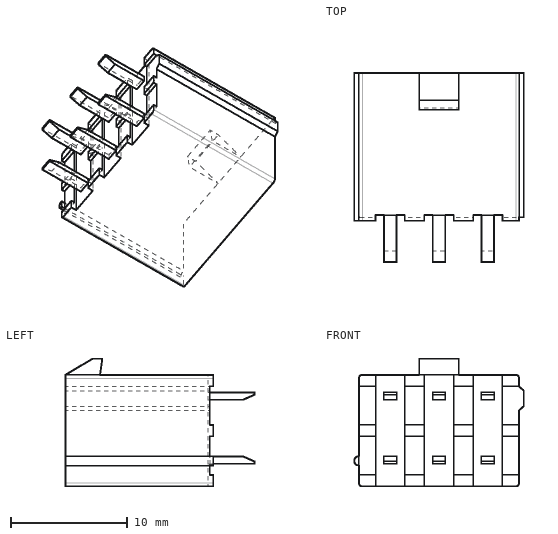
import cadquery as cq


housing_width = 13.8
housing_height = 9.6
housing_length = 12.75
corner_radius = 0.3

pad_proud = 0.3
pad_height = 1.0
pad_rows = 3
channel_depth = 0.5
channel_width = 2.5

pin_pitch = 4.2
pin_columns = 3
row_pitch = 5.5
rows_above_center = 0.22
pin_width = 1.1
pin_thickness = 0.64
pin_reach = 3.55
tip_length = 1.0
tip_thickness = 0.2

latch_width = 3.4
latch_height = 1.4
latch_ramp_length = 2.35
latch_top_length = 3.2
latch_foot_length = 3.0

round_rib_radius = 0.4
round_rib_z = 2.2
key_rib_proud = 0.4
key_rib_height = 2.05
key_rib_bevel = 0.35

half_width = housing_width / 2
mid_height = housing_height / 2
column_positions = [(i - (pin_columns - 1) / 2) * pin_pitch for i in range(pin_columns)]


def block(x_min, x_max, y_min, y_max, z_min, z_max):
    """Axis-aligned box given by its limits."""
    size = (x_max - x_min, y_max - y_min, z_max - z_min)
    return cq.Workplane("XY").box(*size, centered=False).translate((x_min, y_min, z_min))


def make_housing():
    """Rounded block with the pin face cut back between pads and along the channels."""
    body = block(-half_width, half_width, 0, housing_length, 0, housing_height)
    body = body.edges("|Y").fillet(corner_radius)

    recess_height = (housing_height - pad_rows * pad_height) / (pad_rows - 1)
    for gap in range(pad_rows - 1):
        z_min = pad_height + gap * (pad_height + recess_height)
        recess = block(-half_width, half_width, 0, pad_proud, z_min, z_min + recess_height)
        body = body.cut(recess)

    for x in column_positions:
        x_min = x - channel_width / 2
        body = body.cut(block(x_min, x_min + channel_width, 0, channel_depth, 0, housing_height))
    return body


def make_latch():
    """Ramp rising from the mating face, with a slightly undercut catch face."""
    mating_y = housing_length
    top_z = housing_height + latch_height
    profile = [
        (mating_y, housing_height),
        (mating_y - latch_ramp_length, top_z),
        (mating_y - latch_top_length, top_z),
        (mating_y - latch_foot_length, housing_height),
    ]
    return cq.Workplane("YZ").polyline(profile).close().extrude(latch_width / 2, both=True)


def make_round_rib():
    """Half-round rib along the full length of the -X side."""
    return (
        cq.Workplane("XZ")
        .moveTo(-half_width, round_rib_z + round_rib_radius)
        .threePointArc(
            (-half_width - round_rib_radius, round_rib_z),
            (-half_width, round_rib_z - round_rib_radius),
        )
        .close()
        .extrude(-housing_length)
    )


def make_key_rib():
    """Bevelled rib on the +X side, running back from the base face, just below the top pads."""
    outer_x = half_width + key_rib_proud
    top_z = housing_height - pad_height
    bottom_z = top_z - key_rib_height
    profile = [
        (half_width, top_z),
        (outer_x, top_z - key_rib_bevel),
        (outer_x, bottom_z + key_rib_bevel),
        (half_width, bottom_z),
    ]
    rib = cq.Workplane("XZ").polyline(profile).close().extrude(-(housing_length - pad_proud))
    return rib.translate((0, pad_proud, 0))


def make_pin(x, row_side):
    """Flat pin; row_side is +1 for the upper row, -1 for the lower one.

    The tip is bevelled on the side facing the other row.
    """
    row_z = mid_height + rows_above_center + row_side * row_pitch / 2
    flat_z = row_z + row_side * pin_thickness / 2
    inner_z = row_z - row_side * pin_thickness / 2
    profile = [
        (channel_depth, flat_z),
        (-pin_reach, flat_z),
        (-pin_reach, flat_z - row_side * tip_thickness),
        (-pin_reach + tip_length, inner_z),
        (channel_depth, inner_z),
    ]
    pin = cq.Workplane("YZ").polyline(profile).close().extrude(pin_width / 2, both=True)
    return pin.translate((x, 0, 0))


result = make_housing().union(make_latch()).union(make_round_rib()).union(make_key_rib())
for column_x in column_positions:
    for side in (1, -1):
        result = result.union(make_pin(column_x, side))